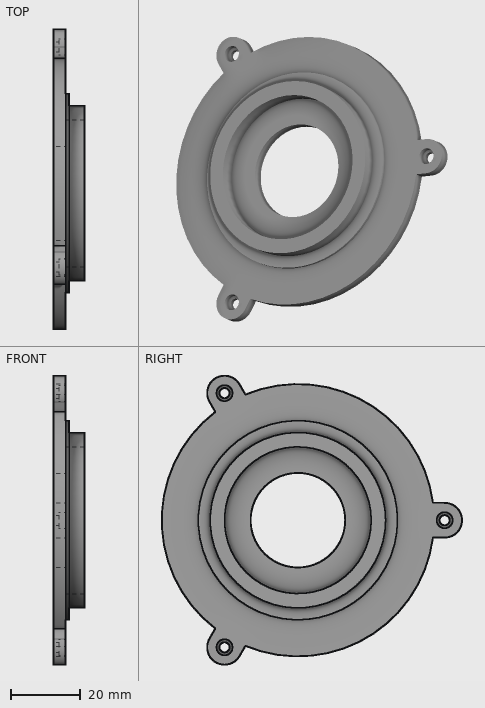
import cadquery as cq

TOTAL_DEPTH = 9.0
PLATE_THICKNESS = 3.5
SHOULDER_THICKNESS = 1.0

PLATE_DIAMETER = 78.0
SHOULDER_DIAMETER = 57.0
BOSS_DIAMETER = 50.2
BORE_DIAMETER = 42.0
CENTRE_HOLE_DIAMETER = 27.0

EAR_COUNT = 3
EAR_RADIUS = 5.0
EAR_CIRCLE_RADIUS = 42.0
SCREW_HOLE_DIAMETER = 2.85
COUNTERBORE_DIAMETER = 4.6
COUNTERBORE_DEPTH = 2.0


def disc(diameter, start_x, end_x, centre_y=0.0):
    """Cylinder along X between two X positions."""
    return (
        cq.Workplane("YZ", origin=(start_x, centre_y, 0))
        .circle(diameter / 2)
        .extrude(end_x - start_x)
    )


def rotated_to_ears(shape):
    """One copy of a shape, modelled on +Y, at each ear position around the X axis."""
    angles = [index * 360.0 / EAR_COUNT for index in range(EAR_COUNT)]
    return [shape.rotate((0, 0, 0), (1, 0, 0), angle) for angle in angles]


def ear():
    """Round-ended tab reaching from the part's axis out along +Y."""
    arm = (
        cq.Workplane("YZ")
        .center(EAR_CIRCLE_RADIUS / 2, 0)
        .rect(EAR_CIRCLE_RADIUS, 2 * EAR_RADIUS)
        .extrude(PLATE_THICKNESS)
    )
    return arm.union(disc(2 * EAR_RADIUS, 0, PLATE_THICKNESS, EAR_CIRCLE_RADIUS))


def screw_hole():
    """Through hole counterbored from the boss side of the ear."""
    counterbore_floor = PLATE_THICKNESS - COUNTERBORE_DEPTH
    hole = disc(SCREW_HOLE_DIAMETER, 0, PLATE_THICKNESS, EAR_CIRCLE_RADIUS)
    counterbore = disc(COUNTERBORE_DIAMETER, counterbore_floor, PLATE_THICKNESS, EAR_CIRCLE_RADIUS)
    return hole.union(counterbore)


def eared_plate():
    plate = disc(PLATE_DIAMETER, 0, PLATE_THICKNESS)
    for tab in rotated_to_ears(ear()):
        plate = plate.union(tab)
    for hole in rotated_to_ears(screw_hole()):
        plate = plate.cut(hole)
    return plate


def stepped_boss():
    """Low shoulder and narrower ring standing on the +X side of the plate."""
    shoulder = disc(SHOULDER_DIAMETER, PLATE_THICKNESS, PLATE_THICKNESS + SHOULDER_THICKNESS)
    ring = disc(BOSS_DIAMETER, PLATE_THICKNESS, TOTAL_DEPTH)
    return shoulder.union(ring)


body = eared_plate().union(stepped_boss())
centre_hole = disc(CENTRE_HOLE_DIAMETER, 0, TOTAL_DEPTH)
bore = disc(BORE_DIAMETER, PLATE_THICKNESS, TOTAL_DEPTH)
result = body.cut(centre_hole).cut(bore)